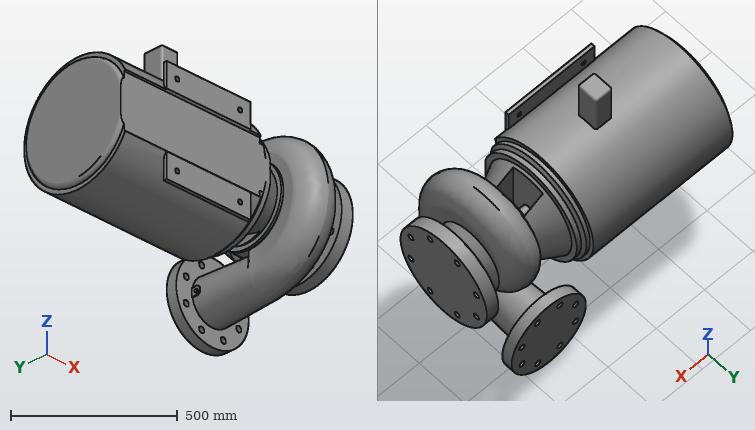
import cadquery as cq
import math


cover_length = 15.0
cover_radius = 212.0
cover_fillet = 14.0
frame_end = 590.0
frame_radius = 228.0
front_shield_end = 605.0
front_shield_radius = 213.0
front_cone_end = 615.0
motor_end = 634.0
spigot_radius = 201.0

flat_offset = 197.0
flat_half_height = 101.0
foot_sole_offset = 204.0

foot_start = 189.0
foot_end = 545.0
foot_thickness = 14.0
foot_half_span = 203.0
foot_hole_diameter = 17.0
foot_hole_start = 234.0
foot_hole_end = 500.0
foot_hole_offset = 158.0

box_start = 333.0
box_length = 70.0
box_width = 79.5
box_top = 384.0
box_rounding = 8.0

shaft_radius = 19.0

lantern_start_radius = 179.0
lantern_end_radius = 129.0
lantern_cone_end = 731.0
back_plate_end = 740.0
back_plate_radius = 146.0
window_start = 645.0
window_end = 720.0
window_width = 129.0

volute_x = 813.0
volute_sections = [
    (-45, 97.0, 69.0),
    (0, 122.0, 71.0),
    (45, 157.0, 72.0),
    (90, 170.0, 73.0),
    (135, 180.0, 74.0),
    (180, 189.0, 76.0),
    (225, 203.0, 76.0),
    (270, 210.0, 77.0),
]
_, outlet_drop, outlet_start_radius = volute_sections[-1]
outlet_end_radius = 86.0
volute_inner_radius = 60.0
volute_inner_half_width = 66.0

outlet_flange_start = 227.0
outlet_flange_end = 267.0
outlet_flange_radius = 154.0
outlet_bolt_radius = 120.0
outlet_bolt_count = 8
outlet_hole_diameter = 22.0

gauge_boss_y = 209.0
gauge_boss_radius = 16.0
gauge_boss_reach = 88.0
gauge_hole_diameter = 12.0
gauge_hole_depth = 10.0

neck_cone_start_radius = 165.0
neck_start = 914.0
neck_radius = 107.0
suction_flange_start = 946.0
suction_flange_end = 994.0
suction_flange_radius = 188.0
suction_bolt_radius = 154.0
suction_bolt_count = 8
suction_hole_diameter = 22.0


def box_between(x_range, y_range, z_range):
    """Axis-aligned box from its limits along each axis."""
    sizes = [high - low for low, high in (x_range, y_range, z_range)]
    corner = (x_range[0], y_range[0], z_range[0])
    return cq.Workplane("XY").box(*sizes, centered=False).translate(corner)


def cylinder_along_x(radius, start, end):
    return cq.Workplane("YZ", origin=(start, 0, 0)).circle(radius).extrude(end - start)


def turned(profile):
    """Solid of revolution about the X axis from (x, radius) points that begin and end on it."""
    return cq.Workplane("XY").polyline(profile).close().revolve(360, (0, 0, 0), (1, 0, 0))


def motor_frame():
    cover = cylinder_along_x(cover_radius, 0, cover_length).faces("<X").edges().fillet(cover_fillet)
    frame = turned([
        (cover_length, 0),
        (cover_length, frame_radius),
        (frame_end, frame_radius),
        (frame_end, front_shield_radius),
        (front_shield_end, front_shield_radius),
        (front_cone_end, spigot_radius),
        (motor_end, spigot_radius),
        (motor_end, 0),
    ])
    return frame.union(cover)


def foot_plate():
    """Plate across both feet; the flat later opens it in the middle."""
    plate = box_between(
        (foot_start, foot_end),
        (-foot_sole_offset, foot_thickness - foot_sole_offset),
        (-foot_half_span, foot_half_span),
    )
    hole_places = [
        (x, z)
        for x in (foot_hole_start, foot_hole_end)
        for z in (-foot_hole_offset, foot_hole_offset)
    ]
    holes = (
        cq.Workplane("XZ", origin=(0, -foot_sole_offset, 0))
        .pushPoints(hole_places)
        .circle(foot_hole_diameter / 2)
        .extrude(-foot_thickness)
    )
    return plate.cut(holes)


def underside_flat():
    """Cutter for the flat: a trough with 45 degree walls that open outwards."""
    wall_run = frame_radius - flat_offset
    outer_half_height = flat_half_height + wall_run
    return (
        cq.Workplane("YZ")
        .polyline([
            (-flat_offset, -flat_half_height),
            (-flat_offset, flat_half_height),
            (-frame_radius, outer_half_height),
            (-frame_radius, -outer_half_height),
        ])
        .close()
        .extrude(motor_end)
    )


def terminal_box():
    box = box_between(
        (box_start, box_start + box_length),
        (-box_width / 2, box_width / 2),
        (0, box_top),
    )
    return box.edges("|Z").fillet(box_rounding).faces(">Z").edges().fillet(box_rounding)


def make_motor():
    shaft = cylinder_along_x(shaft_radius, frame_end, lantern_cone_end)
    return motor_frame().union(foot_plate()).cut(underside_flat()).union(terminal_box()).union(shaft)


def make_lantern():
    lantern = turned([
        (motor_end, 0),
        (motor_end, lantern_start_radius),
        (lantern_cone_end, lantern_end_radius),
        (lantern_cone_end, back_plate_radius),
        (back_plate_end, back_plate_radius),
        (back_plate_end, 0),
    ])
    window = box_between(
        (window_start, window_end),
        (-window_width / 2, window_width / 2),
        (-lantern_start_radius, lantern_start_radius),
    )
    shaft_bore = cylinder_along_x(shaft_radius, motor_end, lantern_cone_end)
    return lantern.cut(window).cut(shaft_bore)


def volute_section(angle, distance, radius):
    """Radial section at one angle: straight sides that end in a semicircular rim."""
    turn = math.radians(angle)
    outward = cq.Vector(0, math.cos(turn), math.sin(turn))
    plane = cq.Plane((volute_x, 0, 0), outward, outward.cross(cq.Vector(1, 0, 0)))
    return (
        cq.Workplane(plane)
        .moveTo(volute_inner_radius, -volute_inner_half_width)
        .lineTo(distance, -radius)
        .radiusArc((distance + radius, 0), -radius)
        .radiusArc((distance, radius), -radius)
        .lineTo(volute_inner_radius, volute_inner_half_width)
        .close()
        .wire()
        .val()
    )


def volute():
    """Chamber that grows as it winds about the shaft to the outlet."""
    wires = [volute_section(*section) for section in volute_sections]
    return cq.Workplane(obj=cq.Solid.makeLoft(wires))


def outlet_pipe():
    """Straight conical pipe along +Y from the end of the volute."""
    return cq.Workplane(obj=cq.Solid.makeCone(
        outlet_start_radius,
        outlet_end_radius,
        outlet_flange_start,
        cq.Vector(volute_x, 0, -outlet_drop),
        cq.Vector(0, 1, 0),
    ))


def flange(plane, radius, thickness, bolt_radius, bolt_count, hole_diameter):
    """Round flange with bolt holes that straddle its centre lines."""
    holes = (
        cq.Workplane(plane)
        .polarArray(bolt_radius, 180 / bolt_count, 360, bolt_count)
        .circle(hole_diameter / 2)
        .extrude(thickness)
    )
    return cq.Workplane(plane).circle(radius).extrude(thickness).cut(holes)


def gauge_boss():
    """Round-ended boss on the -X side of the outlet pipe."""
    start = volute_x - gauge_boss_reach
    boss = cylinder_along_x(gauge_boss_radius, start, volute_x).translate((0, gauge_boss_y, -outlet_drop))
    root = box_between(
        (start, volute_x),
        (gauge_boss_y, outlet_flange_start),
        (-outlet_drop - gauge_boss_radius, -outlet_drop + gauge_boss_radius),
    )
    return boss.union(root)


def gauge_hole():
    start = volute_x - gauge_boss_reach
    hole = cylinder_along_x(gauge_hole_diameter / 2, start, start + gauge_hole_depth)
    return hole.translate((0, gauge_boss_y, -outlet_drop))


def make_casing():
    core = cylinder_along_x(back_plate_radius, back_plate_end, volute_x)
    suction_neck = turned([
        (volute_x, 0),
        (volute_x, neck_cone_start_radius),
        (neck_start, neck_radius),
        (suction_flange_start, neck_radius),
        (suction_flange_start, 0),
    ])
    suction_flange = flange(
        cq.Plane((suction_flange_start, 0, 0), (0, 1, 0), (1, 0, 0)),
        suction_flange_radius,
        suction_flange_end - suction_flange_start,
        suction_bolt_radius,
        suction_bolt_count,
        suction_hole_diameter,
    )
    outlet_flange = flange(
        cq.Plane((volute_x, outlet_flange_start, -outlet_drop), (1, 0, 0), (0, 1, 0)),
        outlet_flange_radius,
        outlet_flange_end - outlet_flange_start,
        outlet_bolt_radius,
        outlet_bolt_count,
        outlet_hole_diameter,
    )
    casing = volute()
    for part in (core, outlet_pipe(), suction_neck, suction_flange, outlet_flange, gauge_boss()):
        casing = casing.union(part)
    return casing.cut(gauge_hole())


motor = make_motor()
lantern = make_lantern()
casing = make_casing()

result = cq.Compound.makeCompound([motor.val(), lantern.val(), casing.val()])